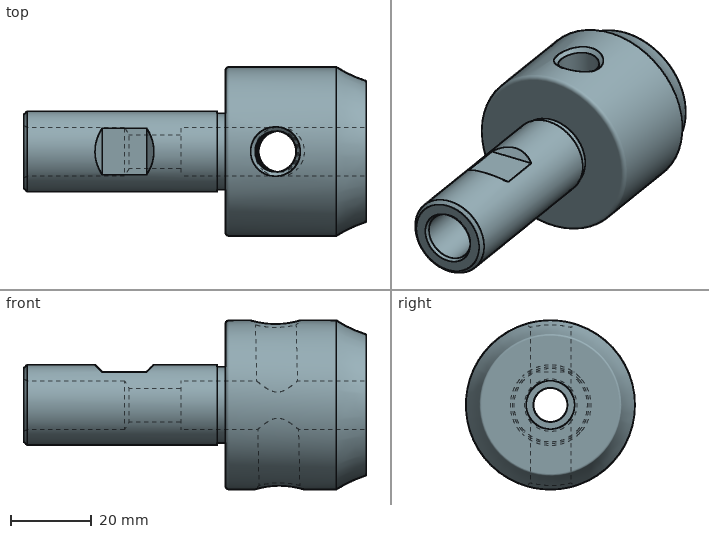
import cadquery as cq
import math

total_length = 85.0

shank_diameter = 20.0
shank_length = 48.0
shank_chamfer = 0.9
neck_diameter = 19.0
neck_length = 2.0

head_diameter = 42.0
head_rear_fillet = 1.0
nose_length = 7.5
nose_face_diameter = 35.0
nose_curve_radius = 30.0
nose_edge_fillet = 0.5

flat_center_x = 25.0
flat_length = 11.0
flat_depth = 1.8

bore_diameter = 12.0
rear_bore_depth = 25.0
rear_bore_mouth_diameter = 13.0
rear_bore_mouth_depth = 0.9
bore_tip_angle = 118.0
link_hole_diameter = 8.38
tool_bore_depth = 46.0

screw_hole_diameter = 10.11
screw_hole_to_nose_face = 22.55
screw_hole_tilt = 1.3
screw_hole_chamfer = 1.1

shank_radius = shank_diameter / 2
neck_radius = neck_diameter / 2
head_radius = head_diameter / 2
bore_radius = bore_diameter / 2
head_start_x = shank_length + neck_length
nose_start_x = total_length - nose_length


def revolve_about_x(profile):
    """Turn a closed XY profile a full circle about the X axis."""
    return profile.close().revolve(360, (0, 0, 0), (1, 0, 0))


def nose_curve_middle():
    """Middle point of the arc that hollows the nose towards the axis."""
    nose_face_radius = nose_face_diameter / 2
    radius_drop = head_radius - nose_face_radius
    chord = math.hypot(nose_length, radius_drop)
    sagitta = nose_curve_radius - math.sqrt(nose_curve_radius**2 - (chord / 2) ** 2)
    middle_x = nose_start_x + nose_length / 2 - sagitta * radius_drop / chord
    middle_radius = (head_radius + nose_face_radius) / 2 - sagitta * nose_length / chord
    return (middle_x, middle_radius)


def make_shank():
    shank = cq.Workplane("YZ").circle(shank_radius).extrude(shank_length)
    neck = cq.Workplane("YZ", origin=(shank_length, 0, 0)).circle(neck_radius).extrude(neck_length)
    return shank.faces("<X").chamfer(shank_chamfer).union(neck)


def make_head():
    head = revolve_about_x(
        cq.Workplane("XY")
        .moveTo(head_start_x, 0)
        .lineTo(head_start_x, head_radius)
        .lineTo(nose_start_x, head_radius)
        .threePointArc(nose_curve_middle(), (total_length, nose_face_diameter / 2))
        .lineTo(total_length, 0)
    )
    head = head.faces("<X").edges().fillet(head_rear_fillet)
    return head.faces(">X").edges().fillet(nose_edge_fillet)


def make_flat_cutter():
    """Trapezoidal cutter with 45 degree end walls."""
    floor_z = shank_radius - flat_depth
    floor_half_length = flat_length / 2
    cutter_height = 2 * flat_depth
    top_half_length = floor_half_length + cutter_height
    return (
        cq.Workplane("XZ")
        .moveTo(flat_center_x - floor_half_length, floor_z)
        .lineTo(flat_center_x + floor_half_length, floor_z)
        .lineTo(flat_center_x + top_half_length, floor_z + cutter_height)
        .lineTo(flat_center_x - top_half_length, floor_z + cutter_height)
        .close()
        .extrude(shank_radius, both=True)
    )


def make_axial_cutter():
    """Stepped bore: chamfered rear bore with a drill-point bottom, link hole, tool bore."""
    mouth_radius = rear_bore_mouth_diameter / 2
    link_radius = link_hole_diameter / 2
    tip_length = (bore_radius - link_radius) / math.tan(math.radians(bore_tip_angle / 2))
    tool_bore_start_x = total_length - tool_bore_depth
    return revolve_about_x(
        cq.Workplane("XY")
        .lineTo(0, mouth_radius)
        .lineTo(rear_bore_mouth_depth, bore_radius)
        .lineTo(rear_bore_depth, bore_radius)
        .lineTo(rear_bore_depth + tip_length, link_radius)
        .lineTo(tool_bore_start_x, link_radius)
        .lineTo(tool_bore_start_x, bore_radius)
        .lineTo(total_length, bore_radius)
        .lineTo(total_length, 0)
    )


def make_screw_hole_cutter():
    """Cylinder through the head, leaning towards the shank at its upper end."""
    lean = head_radius * math.tan(math.radians(screw_hole_tilt))
    axis_x = total_length - screw_hole_to_nose_face + lean
    return (
        cq.Workplane("XY")
        .circle(screw_hole_diameter / 2)
        .extrude(head_diameter, both=True)
        .rotate((0, 0, 0), (0, 1, 0), -screw_hole_tilt)
        .translate((axis_x, 0, 0))
    )


def screw_hole_rims(body):
    """Edges where the screw hole meets the outside of the head."""
    entry_x = total_length - screw_hole_to_nose_face
    search_reach = screw_hole_diameter
    rims = []
    for edge in body.edges().vals():
        box = edge.BoundingBox()
        near_hole = box.xmin > entry_x - search_reach and box.xmax < entry_x + search_reach
        on_one_side = box.zmin > 0 or box.zmax < 0
        if near_hole and on_one_side:
            rims.append(edge)
    return rims


body = make_shank().union(make_head()).cut(make_flat_cutter())
body = body.cut(make_screw_hole_cutter())
body = body.newObject(screw_hole_rims(body)).chamfer(screw_hole_chamfer)
result = body.cut(make_axial_cutter())